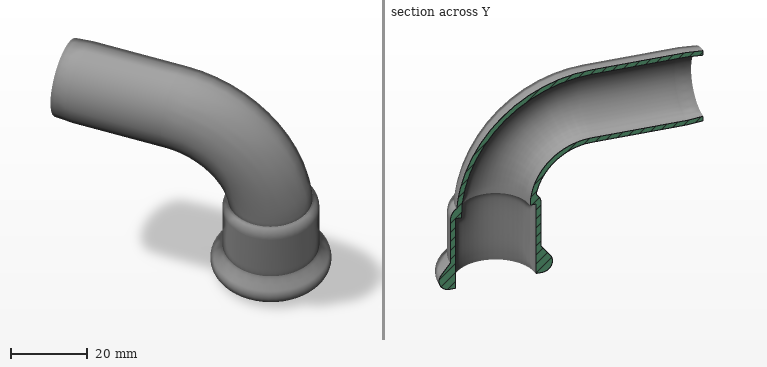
import cadquery as cq
import math

length = 73.3
height = 58.4
bead_dia = 31.6

tube_dia = 22.0
bore_dia = 19.0
wall = (tube_dia - bore_dia) / 2
bend_start = 31.0

tip_dia = 21.25
taper_length = 4.5
blend_length = 0.9
taper_rise = 0.33

socket_dia = 25.3
socket_bore = 22.2
bead_radius = 3.0
bead_top = 5.05
cone_top = 8.0
shoulder_height = 3.1

socket_x = length - bead_dia / 2
axis_z = height - tube_dia / 2
bend_radius = socket_x - bend_start
socket_depth = axis_z - bend_radius
shoulder_top = socket_depth + shoulder_height


def arc_mid(start, end, center, radius):
    """Point halfway along the minor arc from start to end."""
    dx = (start[0] + end[0]) / 2 - center[0]
    dy = (start[1] + end[1]) / 2 - center[1]
    reach = math.hypot(dx, dy)
    return (center[0] + radius * dx / reach, center[1] + radius * dy / reach)


def bend(diameter):
    """Solid quarter bend from the spigot axis down to the socket axis."""
    return (
        cq.Workplane("YZ", origin=(bend_start, 0, axis_z))
        .circle(diameter / 2)
        .revolve(90, (-0.7, -bend_radius, 0), (0.7, -bend_radius, 0))
    )


def spigot_outside():
    """Straight tube with a tapered tip blended into the cylinder."""
    radius = tube_dia / 2
    taper_end = (taper_length, tip_dia / 2 + taper_rise)
    blend_end = (taper_length + blend_length, radius)
    drop = radius - taper_end[1]
    blend_radius = (blend_length**2 + drop**2) / (2 * drop)
    center = (blend_end[0], radius - blend_radius)
    profile = (
        cq.Workplane("XZ", origin=(0, 0, axis_z))
        .lineTo(0, tip_dia / 2)
        .lineTo(*taper_end)
        .threePointArc(arc_mid(taper_end, blend_end, center, blend_radius), blend_end)
        .lineTo(bend_start, radius)
        .lineTo(bend_start, 0)
        .close()
    )
    return profile.revolve(360, (0, 0, 0), (1, 0, 0))


def spigot_bore():
    """Bore that narrows towards the tip, keeping the wall thickness."""
    profile = (
        cq.Workplane("XZ", origin=(0, 0, axis_z))
        .lineTo(0, tip_dia / 2 - wall)
        .lineTo(taper_length, bore_dia / 2)
        .lineTo(bend_start, bore_dia / 2)
        .lineTo(bend_start, 0)
        .close()
    )
    return profile.revolve(360, (0, 0, 0), (1, 0, 0))


def socket_outside():
    """Socket with a rounded bead at the mouth and a rounded shoulder."""
    socket_radius = socket_dia / 2
    bead_center = (bead_dia / 2 - bead_radius, bead_radius)
    bead_rise = bead_top - bead_radius
    bead_end = (bead_center[0] + math.sqrt(bead_radius**2 - bead_rise**2), bead_top)
    shoulder_start = (socket_radius, socket_depth)
    shoulder_end = (tube_dia / 2, shoulder_top)
    inset = socket_radius - shoulder_end[0]
    shoulder_radius = (inset**2 + shoulder_height**2) / (2 * inset)
    shoulder_center = (socket_radius - shoulder_radius, socket_depth)
    shoulder_mid = arc_mid(shoulder_start, shoulder_end, shoulder_center, shoulder_radius)
    profile = (
        cq.Workplane("XZ", origin=(socket_x, 0, 0))
        .lineTo(bead_center[0], 0)
        .threePointArc((bead_dia / 2, bead_radius), bead_end)
        .lineTo(socket_radius, cone_top)
        .lineTo(*shoulder_start)
        .threePointArc(shoulder_mid, shoulder_end)
        .lineTo(0, shoulder_top)
        .close()
    )
    return profile.revolve(360, (0, 0, 0), (0, 1, 0))


socket_hole = cq.Workplane("XY", origin=(socket_x, 0, 0)).circle(socket_bore / 2).extrude(socket_depth)

outside = spigot_outside().union(bend(tube_dia)).union(socket_outside())
result = outside.cut(spigot_bore()).cut(bend(bore_dia)).cut(socket_hole)